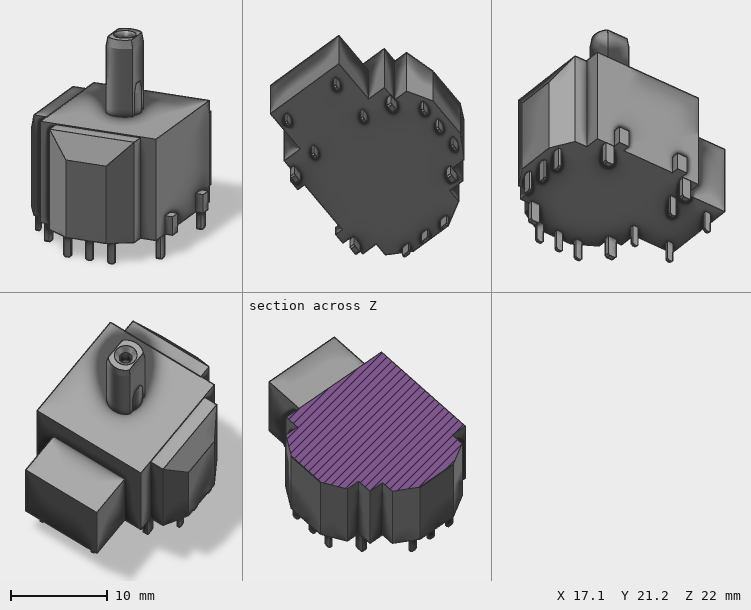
import cadquery as cq
import math


overall_height = 22.0

housing_side = 13.18
housing_height = 11.15
housing_offset_x = 0.02
housing_offset_y = -0.02

cover_reach = 9.61
cover_slope_depth = 1.47
cover_slope_inset = 2.53
cover_width = 9.65
cover_height = 11.05

switch_width = 9.02
switch_height = 8.05
switch_reach = 11.57

tab_width = 1.23
tab_height = 2.02
tab_reach = 7.48
tab_spacing = 7.57

stem_diameter = 4.03
stem_flat_width = 3.01
stem_tip_height = 0.95
stem_taper_angle = 10.0
rib_diameter = 3.5
rib_straight_height = 2.38
rib_taper_height = 1.01
hole_diameter = 1.3
countersink_diameter = 2.35
countersink_angle = 90.0
hole_depth = 2.0

pin_length = 2.45
pin_tip_chamfer = 0.18
sensor_pin_width = 0.8
sensor_pin_thickness = 0.29
sensor_pin_pitch = 2.5
sensor_pin_distance = 8.7
switch_pin_width = 0.68
switch_pin_thickness = 0.29
switch_pin_spacing_x = 6.45
switch_pin_spacing_y = 4.5
switch_pin_center_y = 7.99
mount_pin_width = 1.03
mount_pin_thickness = 0.53
mount_pin_spacing_x = 12.74
mount_pin_spacing_y = 10.0

stem_height = overall_height - pin_length - housing_height


def block(x_size, y_size, height, x, y):
    """Upright block standing on Z = 0, centred on (x, y)."""
    return cq.Workplane("XY").center(x, y).rect(x_size, y_size).extrude(height)


def housing():
    return block(housing_side, housing_side, housing_height, housing_offset_x, housing_offset_y)


def sensor_cover():
    """Cover on the -Y side: sloping sides in plan, cut by a slope along its top edge."""
    half_width = cover_width / 2
    half_face = half_width - cover_slope_inset
    slope_start = cover_reach - cover_slope_depth
    plan = (
        cq.Workplane("XY")
        .polyline([
            (-half_width, 0),
            (-half_width, -slope_start),
            (-half_face, -cover_reach),
            (half_face, -cover_reach),
            (half_width, -slope_start),
            (half_width, 0),
        ])
        .close()
        .extrude(cover_height)
    )
    side = (
        cq.Workplane("YZ")
        .polyline([
            (0, 0),
            (-cover_reach, 0),
            (-cover_reach, cover_height - cover_slope_inset),
            (-slope_start, cover_height),
            (0, cover_height),
        ])
        .close()
        .extrude(half_width, both=True)
    )
    return plan.intersect(side)


def push_switch():
    return block(switch_width, switch_reach, switch_height, 0, switch_reach / 2)


def locating_tab(y):
    return block(tab_reach, tab_width, tab_height, tab_reach / 2, y)


def flatted_rod(height, taper=0):
    """Round rod with two flats facing -X and +X, optionally tapering upwards."""
    half_flat = stem_flat_width / 2
    radius = stem_diameter / 2
    corner_y = math.sqrt(radius**2 - half_flat**2)
    return (
        cq.Workplane("XY")
        .moveTo(-half_flat, -corner_y)
        .threePointArc((0, -radius), (half_flat, -corner_y))
        .lineTo(half_flat, corner_y)
        .threePointArc((0, radius), (-half_flat, corner_y))
        .close()
        .extrude(height, taper=taper)
    )


def stem():
    """Stem standing on Z = 0, with a tapered tip, two low ribs on its flats and a countersunk hole."""
    shaft_height = stem_height - stem_tip_height
    shaft = flatted_rod(shaft_height)
    tip = flatted_rod(stem_tip_height, stem_taper_angle).translate((0, 0, shaft_height))

    rib_radius = rib_diameter / 2
    rib_top_radius = rib_radius - rib_taper_height * math.tan(math.radians(stem_taper_angle))
    rib_height = rib_straight_height + rib_taper_height
    ribs = (
        cq.Workplane("XZ")
        .polyline([
            (0, 0),
            (rib_radius, 0),
            (rib_radius, rib_straight_height),
            (rib_top_radius, rib_height),
            (0, rib_height),
        ])
        .close()
        .revolve(360, (0, 0, 0), (0, 1, 0))
    )
    return (
        shaft.union(tip)
        .union(ribs)
        .faces(">Z")
        .workplane(origin=(0, 0, stem_height))
        .cskHole(hole_diameter, countersink_diameter, countersink_angle, depth=hole_depth)
    )


def pin(width, thickness, x, y, facing="Y"):
    """Flat pin below Z = 0 with chamfered tip corners; its broad face looks along the facing axis."""
    blank = (
        cq.Workplane("XY")
        .box(width, thickness, pin_length, centered=(True, True, False))
        .faces("<Z")
        .edges("|Y")
        .chamfer(pin_tip_chamfer)
    )
    turn = 90 if facing == "X" else 0
    return blank.rotate((0, 0, 0), (0, 0, 1), turn).translate((x, y, -pin_length))


def pins():
    placed = []
    for step in (-1, 0, 1):
        along = step * sensor_pin_pitch
        placed.append(pin(sensor_pin_width, sensor_pin_thickness, along, -sensor_pin_distance))
        placed.append(pin(sensor_pin_width, sensor_pin_thickness, -sensor_pin_distance, along, "X"))
    for side_x in (-0.5, 0.5):
        for side_y in (-0.5, 0.5):
            placed.append(pin(
                switch_pin_width, switch_pin_thickness,
                side_x * switch_pin_spacing_x,
                switch_pin_center_y + side_y * switch_pin_spacing_y,
                "X",
            ))
            placed.append(pin(
                mount_pin_width, mount_pin_thickness,
                side_x * mount_pin_spacing_x,
                side_y * mount_pin_spacing_y,
                "X",
            ))
    return placed


front_cover = sensor_cover()
left_cover = front_cover.rotate((0, 0, 0), (0, 0, 1), -90)

result = housing().union(front_cover).union(left_cover).union(push_switch())
for tab_y in (-tab_spacing / 2, tab_spacing / 2):
    result = result.union(locating_tab(tab_y))
result = result.union(stem().translate((0, 0, housing_height)))
for solder_pin in pins():
    result = result.union(solder_pin)